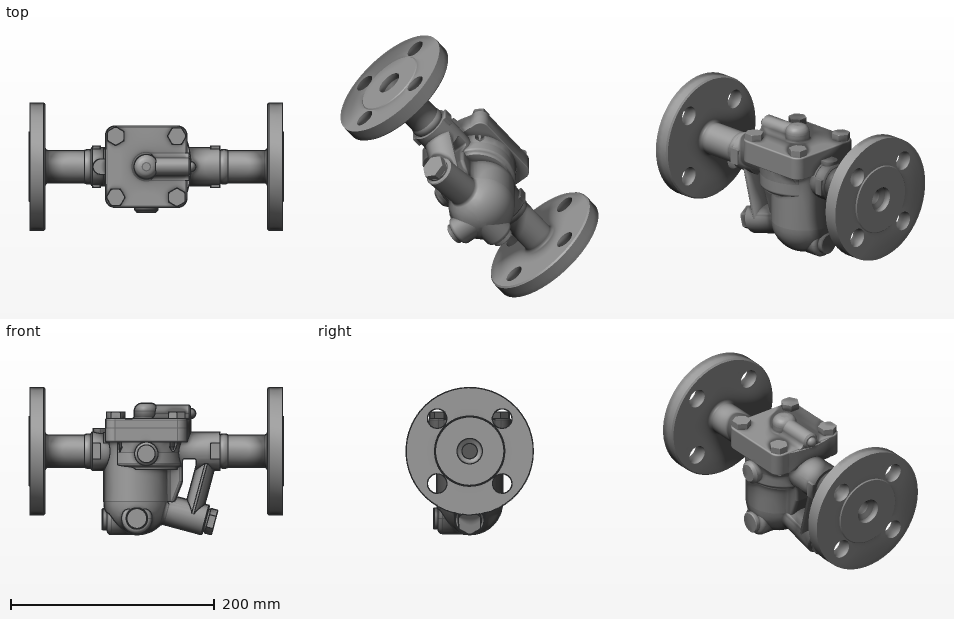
import cadquery as cq
import math

HALF_LENGTH = 125.0
FLANGE_DIA = 125.0
FLANGE_BACK_X = 109.0
FLANGE_CHAMFER = 1.5
RAISED_FACE_DIA = 69.0
RAISED_FACE_HEIGHT = 1.0
BOLT_CIRCLE_DIA = 90.0
FLANGE_HOLE_DIA = 19.0
FLANGE_HOLE_COUNT = 4
FIRST_HOLE_ANGLE = 45.0
PIPE_DIA = 32.0
HUB_FILLET = 3.0
BORE_DIA = 25.0
BORE_DEPTH = 7.0
BORE_CONE_LENGTH = 3.0
SEAT_BORE_DIA = 15.0
SEAT_BORE_END = 30.0

SLEEVE_DIA = 38.0
OUTLET_SLEEVE_X = 62.5
INLET_SLEEVE_X = -64.0
INLET_SLEEVE_CHAMFER = 1.5
INLET_COLLAR_DIA = 39.4
INLET_COLLAR_X = -51.5
INLET_COLLAR_BOTTOM_Z = 8.0
BEAD_START_X = OUTLET_SLEEVE_X
BEAD_END_X = 70.2
PIPE_OVERLAP = 1.0
BEAD_DIA = 34.0
PAD_LENGTH = 9.5
INLET_PAD_LENGTH = 8.0
INLET_PAD_START_X = -62.5
PAD_CORNER_CHAMFER = 0.8
PAD_HEIGHT = 15.8
PAD_Y = 20.4
TOP_PAD_Z = 22.3
TOP_PAD_WIDTH = 15.0
TOP_PAD_START_X = -62.0

BODY_X = -19.0
BODY_RADIUS = 32.5
DOME_Z = -49.58

COVER_X = -9.75
COVER_SIDE = 80.0
COVER_CORNER = 9.5
COVER_TOP_Z = 32.0
COVER_SPLIT_Z = 22.5
BODY_FLANGE_Z = 9.0
COVER_EDGE_ROUND = 1.5
FLANGE_EDGE_ROUND = 1.0
COVER_RIGHT_X = COVER_X + COVER_SIDE / 2

BOLT_OFFSET = 30.0
HEX_ACROSS_FLATS = 16.0
BOLT_HEAD_HEIGHT = 6.5
BOLT_HEAD_CHAMFER = 0.5
HEX_HALF_PITCH = 30.0

NECK_X = -11.0
NECK_RADIUS = 38.0
NECK_LEFT_X = -38.0
NECK_RIGHT_X = 25.8
NECK_FLARE_RADIUS = 39.3
NECK_FLARE_Z = -1.4
NECK_BAND_Z = -12.0
NECK_BOTTOM_Z = -18.0
NECK_STEP = 4.2
POCKET_OFFSET = 27.7
POCKET_DIA = 10.0
POCKET_CONE_Z = 4.0
POCKET_TIP_Z = -1.0
PIN_DIA = 3.4

CAP_RADIUS = 12.0
CAP_TOP_Z = 47.2
CAP_ROUND = 8.0
CAP_BASE_FILLET = 2.0
RIDGE_RADIUS = 8.5
RIDGE_AXIS_Z = 36.9
RIDGE_END_X = 33.8
RIDGE_END_CHAMFER = 1.8
RIDGE_TIP_DIA = 10.0
TONGUE_X = 34.2
TONGUE_HALF_WIDTH = 25.0
TONGUE_TOP_Z = 31.0
TONGUE_STEP_Z = 19.6

FRONT_BOSS_Z = -2.6
FRONT_BOSS_DIA = 23.0
FRONT_BOSS_END_Y = -45.0
FRONT_BOSS_CHAMFER = 2.8
PLUG_BOSS_DIA = 30.0
PLUG_DIA = 21.0
PLUG_BOSS_ROUND = 4.4
PLUG_CHAMFER = 0.8
FRONT_PLUG_Z = -66.0
FRONT_PLUG_BOSS_LENGTH = 31.0
FRONT_PLUG_LENGTH = 35.5
LEFT_PLUG_Z = -66.9
LEFT_PLUG_BOSS_LENGTH = 29.2
LEFT_PLUG_LENGTH = 34.2

BRANCH_ANGLE = 15.0
BRANCH_DIA = 30.0
BRANCH_LENGTH = 70.0
BRANCH_CHAMFER = 1.0
BRANCH_FILLET = 4.0
CAP_NECK_DIA = 23.0
CAP_HEX_START = 72.0
CAP_HEX_END = 79.0
CAP_HEX_ACROSS_CORNERS = 25.0
CAP_HEX_CHAMFER = 0.6

RISER_POSITION = 56.0
RISER_HALF_WIDTH = 9.2
RISER_HALF_DEPTH = 14.7
RISER_NOSE_WIDTH = 2.4
RISER_LENGTH = 54.0

PASSAGE_HALF_WIDTH = 12.2
PASSAGE_TAPER_Z = -30.0
PASSAGE_BOTTOM_Z = -54.0
PASSAGE_BOTTOM_X = 16.5
PASSAGE_ROUND = 3.0
PASSAGE_ROOT_FILLET = 4.5
WINDOW_RIGHT_X = 39.0
WINDOW_TOP_Z = -7.5
WINDOW_ROUND = 2.0


def revolve_about_x(profile):
    return profile.close().revolve(360, (0, 0, 0), (1, 0, 0))


def root_fillet(half_width, fillet):
    """Start, middle and end of the arc blending the body circle into a line at half_width."""
    reach = BODY_RADIUS + fillet
    center_y = half_width + fillet
    center_x = math.sqrt(reach**2 - center_y**2)
    start = (center_x * BODY_RADIUS / reach, center_y * BODY_RADIUS / reach)
    start_angle = math.atan2(-center_y, -center_x)
    end_angle = -math.pi / 2
    mid_angle = (start_angle + end_angle) / 2
    middle = (center_x + fillet * math.cos(mid_angle), center_y + fillet * math.sin(mid_angle))
    return start, middle, (center_x, half_width)


def pipe_end():
    """Flange, pipe stub and weld bead on the +X side."""
    pipe_r = PIPE_DIA / 2
    flange_r = FLANGE_DIA / 2
    face_x = HALF_LENGTH - RAISED_FACE_HEIGHT
    fillet_mid = HUB_FILLET * (1 - math.sqrt(0.5))
    bead_mid_x = (BEAD_START_X + BEAD_END_X) / 2
    profile = (
        cq.Workplane("XY")
        .moveTo(BEAD_START_X - PIPE_OVERLAP, 0)
        .lineTo(BEAD_START_X - PIPE_OVERLAP, pipe_r)
        .lineTo(BEAD_START_X, pipe_r)
        .threePointArc((bead_mid_x, BEAD_DIA / 2), (BEAD_END_X, pipe_r))
        .lineTo(FLANGE_BACK_X - HUB_FILLET, pipe_r)
        .threePointArc(
            (FLANGE_BACK_X - fillet_mid, pipe_r + fillet_mid),
            (FLANGE_BACK_X, pipe_r + HUB_FILLET),
        )
        .lineTo(FLANGE_BACK_X, flange_r - FLANGE_CHAMFER)
        .lineTo(FLANGE_BACK_X + FLANGE_CHAMFER, flange_r)
        .lineTo(face_x, flange_r)
        .lineTo(face_x, RAISED_FACE_DIA / 2)
        .lineTo(HALF_LENGTH, RAISED_FACE_DIA / 2 - RAISED_FACE_HEIGHT)
        .lineTo(HALF_LENGTH, 0)
    )
    end = revolve_about_x(profile)
    holes = (
        cq.Workplane("YZ", origin=(FLANGE_BACK_X - HUB_FILLET, 0, 0))
        .polarArray(BOLT_CIRCLE_DIA / 2, FIRST_HOLE_ANGLE, 360, FLANGE_HOLE_COUNT)
        .circle(FLANGE_HOLE_DIA / 2)
        .extrude(HALF_LENGTH)
    )
    cone_start = HALF_LENGTH - BORE_DEPTH
    cone_end = cone_start - BORE_CONE_LENGTH
    seat_end = HALF_LENGTH - SEAT_BORE_END
    bore = (
        cq.Workplane("XY")
        .moveTo(HALF_LENGTH, 0)
        .lineTo(HALF_LENGTH, BORE_DIA / 2)
        .lineTo(cone_start, BORE_DIA / 2)
        .lineTo(cone_end, SEAT_BORE_DIA / 2)
        .lineTo(seat_end, SEAT_BORE_DIA / 2)
        .lineTo(seat_end, 0)
    )
    return end.cut(holes).cut(revolve_about_x(bore))


def sleeves():
    """Solid sleeve bar along X, relieved above the window beside the riser."""
    sleeve = (
        cq.Workplane("YZ", origin=(INLET_SLEEVE_X, 0, 0))
        .circle(SLEEVE_DIA / 2)
        .extrude(OUTLET_SLEEVE_X - INLET_SLEEVE_X)
        .faces("<X")
        .chamfer(INLET_SLEEVE_CHAMFER)
    )
    window_depth = SLEEVE_DIA + WINDOW_TOP_Z
    window = (
        cq.Workplane("XY")
        .box(WINDOW_RIGHT_X - NECK_RIGHT_X, SLEEVE_DIA, window_depth, centered=(False, True, False))
        .translate((NECK_RIGHT_X, 0, WINDOW_TOP_Z - window_depth))
        .edges(">Z and |Y")
        .fillet(WINDOW_ROUND)
    )
    return sleeve.cut(window)


def inlet_collar():
    """Raised half collar where the inlet sleeve runs in under the body flange."""
    length = BODY_X - INLET_COLLAR_X
    radius = INLET_COLLAR_DIA / 2
    collar = (
        cq.Workplane("YZ", origin=(INLET_COLLAR_X, 0, 0))
        .circle(radius)
        .extrude(length)
    )
    upper = (
        cq.Workplane("XY")
        .box(length, INLET_COLLAR_DIA, radius, centered=(False, True, False))
        .translate((INLET_COLLAR_X, 0, INLET_COLLAR_BOTTOM_Z))
    )
    return collar.intersect(upper)


def sleeve_pads():
    """Flat wrench pads on both sleeves and the round-ended pad on top of the inlet."""
    pads = (
        cq.Workplane("XY")
        .box(PAD_LENGTH, 2 * PAD_Y, PAD_HEIGHT)
        .translate((OUTLET_SLEEVE_X - PAD_LENGTH / 2, 0, 0))
        .edges("<X and |Y")
        .chamfer(PAD_CORNER_CHAMFER)
    )
    inlet_pads = (
        cq.Workplane("XY")
        .box(INLET_PAD_LENGTH, 2 * PAD_Y, PAD_HEIGHT)
        .translate((INLET_PAD_START_X + INLET_PAD_LENGTH / 2, 0, 0))
        .edges(">X and |Y")
        .chamfer(PAD_CORNER_CHAMFER)
    )
    radius = TOP_PAD_WIDTH / 2
    arc_center_x = TOP_PAD_START_X + radius
    top_pad = (
        cq.Workplane("XY")
        .moveTo(COVER_X, -radius)
        .lineTo(arc_center_x, -radius)
        .threePointArc((TOP_PAD_START_X, 0), (arc_center_x, radius))
        .lineTo(COVER_X, radius)
        .close()
        .extrude(TOP_PAD_Z)
    )
    return pads.union(inlet_pads).union(top_pad)


def body():
    """Vertical cylinder closed below by a hemisphere."""
    barrel = (
        cq.Workplane("XY", origin=(BODY_X, 0, DOME_Z))
        .circle(BODY_RADIUS)
        .extrude(BODY_FLANGE_Z - DOME_Z)
    )
    dome = cq.Workplane("XY", origin=(BODY_X, 0, DOME_Z)).sphere(BODY_RADIUS)
    return barrel.union(dome)


def neck():
    """Neck under the body flange: curved step, straight band and flare, pocketed at four corners."""
    top_z = BODY_FLANGE_Z + FLANGE_EDGE_ROUND
    half_step = NECK_STEP / 2
    half_rise = (NECK_BAND_Z - NECK_BOTTOM_Z) / 2
    arc_radius = (half_step**2 + half_rise**2) / (2 * half_step)
    half_turn = math.asin(half_rise / arc_radius) / 2
    foot_r = NECK_RADIUS - NECK_STEP
    lower_mid = (
        foot_r + arc_radius * (1 - math.cos(half_turn)),
        NECK_BOTTOM_Z + arc_radius * math.sin(half_turn),
    )
    middle = (foot_r + half_step, NECK_BOTTOM_Z + half_rise)
    turned = (
        cq.Workplane("XZ", origin=(NECK_X, 0, 0))
        .moveTo(0, NECK_BOTTOM_Z)
        .lineTo(foot_r, NECK_BOTTOM_Z)
        .threePointArc(lower_mid, middle)
        .tangentArcPoint((NECK_RADIUS, NECK_BAND_Z), relative=False)
        .lineTo(NECK_RADIUS, NECK_FLARE_Z)
        .lineTo(NECK_FLARE_RADIUS, top_z)
        .lineTo(0, top_z)
        .close()
        .revolve(360, (0, 0, 0), (0, 1, 0))
    )
    limit_size = 2 * NECK_FLARE_RADIUS
    limit = (
        cq.Workplane("XY")
        .box(NECK_RIGHT_X - NECK_LEFT_X, limit_size, limit_size, centered=(False, True, True))
        .translate((NECK_LEFT_X, 0, 0))
    )
    shape = turned.intersect(limit)
    for x_side in (-1, 1):
        for y_side in (-1, 1):
            place = (COVER_X + x_side * POCKET_OFFSET, y_side * POCKET_OFFSET, 0)
            shape = shape.cut(corner_pocket().translate(place))
    return shape


def corner_pocket():
    """Drilled pocket with a conical bottom, leaving a slim pin standing at its centre."""
    return (
        cq.Workplane("XZ")
        .moveTo(PIN_DIA / 2, POCKET_TIP_Z)
        .lineTo(POCKET_DIA / 2, POCKET_CONE_Z)
        .lineTo(POCKET_DIA / 2, BODY_FLANGE_Z)
        .lineTo(PIN_DIA / 2, BODY_FLANGE_Z)
        .close()
        .revolve(360, (0, 0, 0), (0, 1, 0))
    )


def cover():
    """Body flange and cover, two square plates clamped together."""

    def plate(bottom_z, top_z):
        return (
            cq.Workplane("XY", origin=(COVER_X, 0, bottom_z))
            .rect(COVER_SIDE, COVER_SIDE)
            .extrude(top_z - bottom_z)
            .edges("|Z")
            .fillet(COVER_CORNER)
        )

    lower = plate(BODY_FLANGE_Z, COVER_SPLIT_Z).faces("<Z").edges().fillet(FLANGE_EDGE_ROUND)
    upper = plate(COVER_SPLIT_Z, COVER_TOP_Z).faces(">Z").edges().fillet(COVER_EDGE_ROUND)
    return lower.union(upper, clean=False)


def tongue():
    """Curved bulge on the +X side of the cover, drawn in below to the flange edge."""
    plan = (
        cq.Workplane("XY", origin=(0, 0, BODY_FLANGE_Z))
        .moveTo(COVER_X, -TONGUE_HALF_WIDTH)
        .lineTo(COVER_RIGHT_X, -TONGUE_HALF_WIDTH)
        .threePointArc((TONGUE_X, 0), (COVER_RIGHT_X, TONGUE_HALF_WIDTH))
        .lineTo(COVER_X, TONGUE_HALF_WIDTH)
        .close()
        .extrude(TONGUE_TOP_Z - BODY_FLANGE_Z)
    )
    side = (
        cq.Workplane("XZ")
        .moveTo(COVER_X, BODY_FLANGE_Z)
        .lineTo(COVER_RIGHT_X, BODY_FLANGE_Z)
        .lineTo(TONGUE_X, TONGUE_STEP_Z)
        .lineTo(TONGUE_X, TONGUE_TOP_Z)
        .lineTo(COVER_X, TONGUE_TOP_Z)
        .close()
        .extrude(TONGUE_HALF_WIDTH, both=True)
    )
    return plan.intersect(side)


def cover_cap():
    """Domed cap on the cover with a flat top and a small base fillet."""
    round_mid = CAP_ROUND * math.sqrt(0.5)
    dome_z = CAP_TOP_Z - CAP_ROUND
    flat_r = CAP_RADIUS - CAP_ROUND
    base_mid = CAP_BASE_FILLET * (1 - math.sqrt(0.5))
    return (
        cq.Workplane("XZ", origin=(COVER_X, 0, 0))
        .moveTo(0, COVER_TOP_Z)
        .lineTo(CAP_RADIUS + CAP_BASE_FILLET, COVER_TOP_Z)
        .threePointArc(
            (CAP_RADIUS + base_mid, COVER_TOP_Z + base_mid),
            (CAP_RADIUS, COVER_TOP_Z + CAP_BASE_FILLET),
        )
        .lineTo(CAP_RADIUS, dome_z)
        .threePointArc((flat_r + round_mid, dome_z + round_mid), (flat_r, CAP_TOP_Z))
        .lineTo(0, CAP_TOP_Z)
        .close()
        .revolve(360, (0, 0, 0), (0, 1, 0))
    )


def cover_ridge():
    """Round ridge from the cap to a ball tip, on a foot that flares out to the cover."""
    flare = RIDGE_AXIS_Z - COVER_TOP_Z
    flare_mid = flare * (1 - math.sqrt(0.5))
    foot_width = RIDGE_RADIUS + flare
    length = RIDGE_END_X - COVER_X
    foot = (
        cq.Workplane("YZ", origin=(COVER_X, 0, 0))
        .moveTo(-foot_width, TONGUE_TOP_Z)
        .lineTo(-foot_width, COVER_TOP_Z)
        .threePointArc(
            (-RIDGE_RADIUS - flare_mid, COVER_TOP_Z + flare_mid),
            (-RIDGE_RADIUS, RIDGE_AXIS_Z),
        )
        .lineTo(RIDGE_RADIUS, RIDGE_AXIS_Z)
        .threePointArc(
            (RIDGE_RADIUS + flare_mid, COVER_TOP_Z + flare_mid),
            (foot_width, COVER_TOP_Z),
        )
        .lineTo(foot_width, TONGUE_TOP_Z)
        .close()
        .extrude(length - RIDGE_END_CHAMFER)
    )
    barrel = (
        cq.Workplane("YZ", origin=(COVER_X, 0, RIDGE_AXIS_Z))
        .circle(RIDGE_RADIUS)
        .extrude(length)
        .faces(">X")
        .chamfer(RIDGE_END_CHAMFER)
    )
    tip = cq.Workplane("XY", origin=(RIDGE_END_X, 0, RIDGE_AXIS_Z)).sphere(RIDGE_TIP_DIA / 2)
    return foot.union(barrel).union(tip)


def cover_bolt(x, y, turn):
    """Hexagon bolt head standing on the cover, its rim chamfered."""
    corner_dia = HEX_ACROSS_FLATS / math.cos(math.pi / 6)
    blank = (
        cq.Workplane("XY")
        .circle(corner_dia / 2)
        .extrude(BOLT_HEAD_HEIGHT)
        .faces(">Z")
        .chamfer(BOLT_HEAD_CHAMFER)
    )
    return (
        cq.Workplane("XY")
        .polygon(6, corner_dia)
        .extrude(BOLT_HEAD_HEIGHT)
        .intersect(blank)
        .rotate((0, 0, 0), (0, 0, 1), turn)
        .translate((x, y, COVER_TOP_Z))
    )


def cover_bolts():
    """Four bolt heads, neighbours turned by half a hexagon pitch."""
    bolts = cq.Workplane("XY")
    for x_side in (-1, 1):
        for y_side in (-1, 1):
            turn = 0 if x_side == y_side else HEX_HALF_PITCH
            bolts = bolts.union(cover_bolt(COVER_X + x_side * BOLT_OFFSET, y_side * BOLT_OFFSET, turn))
    return bolts


def front_boss():
    return (
        cq.Workplane("XZ", origin=(COVER_X, 0, FRONT_BOSS_Z))
        .circle(FRONT_BOSS_DIA / 2)
        .extrude(-FRONT_BOSS_END_Y)
        .faces("<Y")
        .chamfer(FRONT_BOSS_CHAMFER)
    )


def plug(plane, z, boss_length, plug_length):
    """Rounded boss pointing away from the body axis, carrying a round plug."""
    boss = (
        cq.Workplane(plane)
        .circle(PLUG_BOSS_DIA / 2)
        .extrude(boss_length)
        .faces(cq.selectors.DirectionMinMaxSelector(plane.zDir))
        .edges()
        .fillet(PLUG_BOSS_ROUND)
    )
    end = (
        cq.Workplane(plane)
        .circle(PLUG_DIA / 2)
        .extrude(plug_length)
        .faces(cq.selectors.DirectionMinMaxSelector(plane.zDir))
        .chamfer(PLUG_CHAMFER)
    )
    return boss.union(end).translate((BODY_X, 0, z))


def plugs():
    front_plane = cq.Plane((0, 0, 0), xDir=(1, 0, 0), normal=(0, -1, 0))
    left_plane = cq.Plane((0, 0, 0), xDir=(0, 1, 0), normal=(-1, 0, 0))
    front = plug(front_plane, FRONT_PLUG_Z, FRONT_PLUG_BOSS_LENGTH, FRONT_PLUG_LENGTH)
    left = plug(left_plane, LEFT_PLUG_Z, LEFT_PLUG_BOSS_LENGTH, LEFT_PLUG_LENGTH)
    return front.union(left)


def branch():
    """Strainer branch with root fillet and hexagon cap, built along X from the dome centre."""
    radius = BRANCH_DIA / 2
    on_dome, mid, on_tube = root_fillet(radius, BRANCH_FILLET)
    tube = revolve_about_x(
        cq.Workplane("XY")
        .moveTo(0, 0)
        .lineTo(*on_dome)
        .threePointArc(mid, on_tube)
        .lineTo(BRANCH_LENGTH - BRANCH_CHAMFER, radius)
        .lineTo(BRANCH_LENGTH, radius - BRANCH_CHAMFER)
        .lineTo(BRANCH_LENGTH, 0)
    )
    cap_neck = (
        cq.Workplane("YZ", origin=(BRANCH_LENGTH, 0, 0))
        .circle(CAP_NECK_DIA / 2)
        .extrude(CAP_HEX_START - BRANCH_LENGTH)
    )
    hex_length = CAP_HEX_END - CAP_HEX_START
    blank = (
        cq.Workplane("YZ", origin=(CAP_HEX_START, 0, 0))
        .circle(CAP_HEX_ACROSS_CORNERS / 2)
        .extrude(hex_length)
        .faces(">X")
        .chamfer(CAP_HEX_CHAMFER)
    )
    cap_hex = (
        cq.Workplane("YZ", origin=(CAP_HEX_START, 0, 0))
        .transformed(rotate=(0, 0, 90))
        .polygon(6, CAP_HEX_ACROSS_CORNERS)
        .extrude(hex_length)
        .intersect(blank)
    )
    return tilt(tube.union(cap_neck).union(cap_hex).union(riser()))


def riser():
    """Lens-shaped riser square to the branch, with flat noses front and back."""
    nose = RISER_NOSE_WIDTH / 2
    return (
        cq.Workplane("XY", origin=(RISER_POSITION, 0, 0))
        .moveTo(-nose, -RISER_HALF_DEPTH)
        .lineTo(nose, -RISER_HALF_DEPTH)
        .threePointArc((RISER_HALF_WIDTH, 0), (nose, RISER_HALF_DEPTH))
        .lineTo(-nose, RISER_HALF_DEPTH)
        .threePointArc((-RISER_HALF_WIDTH, 0), (-nose, -RISER_HALF_DEPTH))
        .close()
        .extrude(RISER_LENGTH)
    )


def tilt(shape):
    """Swing a shape built along X at the origin into the branch direction."""
    return shape.rotate((0, 0, 0), (0, 1, 0), BRANCH_ANGLE).translate((BODY_X, 0, DOME_Z))


def passage():
    """Flat-sided lump on the +X side of the body, tapering in towards the branch."""
    return (
        cq.Workplane("XZ")
        .moveTo(BODY_X, BODY_FLANGE_Z)
        .lineTo(NECK_RIGHT_X, BODY_FLANGE_Z)
        .lineTo(NECK_RIGHT_X, PASSAGE_TAPER_Z)
        .lineTo(PASSAGE_BOTTOM_X, PASSAGE_BOTTOM_Z)
        .lineTo(BODY_X, PASSAGE_BOTTOM_Z)
        .close()
        .extrude(PASSAGE_HALF_WIDTH, both=True)
        .edges("not (|X or |Y)")
        .fillet(PASSAGE_ROUND)
    )


def passage_roots():
    """Concave fillets between the barrel and the flat sides of the passage lump."""
    on_body, mid, on_flat = root_fillet(PASSAGE_HALF_WIDTH, PASSAGE_ROOT_FILLET)
    root = (
        cq.Workplane("XY", origin=(BODY_X, 0, DOME_Z))
        .lineTo(*on_body)
        .threePointArc(mid, on_flat)
        .lineTo(on_flat[0], 0)
        .close()
        .extrude(BODY_FLANGE_Z - DOME_Z)
    )
    return root.union(root.mirror("XZ"))


outlet_end = pipe_end()
result = outlet_end.union(outlet_end.mirror("YZ"))
for feature in (
    sleeves(),
    inlet_collar(),
    sleeve_pads(),
    body(),
    passage(),
    passage_roots(),
    neck(),
    branch(),
    plugs(),
    front_boss(),
    cover(),
    tongue(),
    cover_bolts(),
    cover_cap(),
    cover_ridge(),
):
    result = result.union(feature, clean=False)